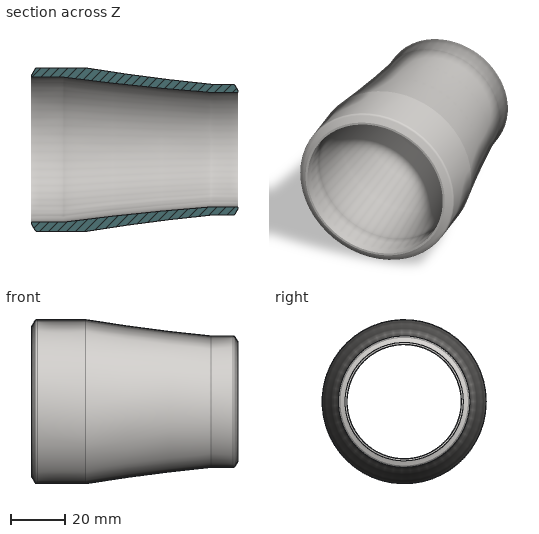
import cadquery as cq
import math

length = 76.0
large_outer_diameter = 60.3
large_bore_diameter = 53.1
small_outer_diameter = 48.3
small_bore_diameter = 41.9

large_straight_length = 20.0
small_straight_length = 10.0
large_bore_straight_length = 12.0
transition_sag = 0.38

bevel_angle = math.radians(30.0)
land_width = 0.8
corner_radius = 1.0

large_outer_radius = large_outer_diameter / 2
large_bore_radius = large_bore_diameter / 2
small_outer_radius = small_outer_diameter / 2
small_bore_radius = small_bore_diameter / 2

outer_transition_start = large_straight_length
bore_transition_start = large_bore_straight_length
transition_end = length - small_straight_length


def bevel_points(outer_radius, bore_radius):
    """Return (distance from end face, radius) at the land, arc start, arc middle and arc end."""
    land_radius = bore_radius + land_width
    sharp_corner = (outer_radius - land_radius) * math.tan(bevel_angle)
    turn = math.pi / 2 - bevel_angle
    tangent_length = corner_radius * math.tan(turn / 2)
    arc_end = sharp_corner + tangent_length
    arc_center_radius = outer_radius - corner_radius

    def on_arc(angle):
        """Point on the corner arc, turned by angle from its tangency with the outside."""
        return (
            arc_end - corner_radius * math.sin(angle),
            arc_center_radius + corner_radius * math.cos(angle),
        )

    return (0.0, land_radius), on_arc(turn), on_arc(turn / 2), on_arc(0.0)


def from_small_end(point):
    """Convert a distance from the small end face into an X position."""
    distance, radius = point
    return (length - distance, radius)


def transition_middle(transition_start, large_radius, small_radius):
    """Middle point of the transition arc, bowed toward the axis."""
    run = transition_end - transition_start
    drop = large_radius - small_radius
    chord = math.hypot(run, drop)
    return (
        (transition_start + transition_end) / 2 - transition_sag * drop / chord,
        (large_radius + small_radius) / 2 - transition_sag * run / chord,
    )


def wall_profile():
    """Closed half section of the wall in the XY plane."""
    large_bevel = bevel_points(large_outer_radius, large_bore_radius)
    small_bevel = bevel_points(small_outer_radius, small_bore_radius)
    large_land, large_arc_start, large_arc_middle, large_arc_end = large_bevel
    small_land, small_arc_start, small_arc_middle, small_arc_end = map(from_small_end, small_bevel)

    outside = (
        cq.Workplane("XY")
        .moveTo(0.0, large_bore_radius)
        .lineTo(*large_land)
        .lineTo(*large_arc_start)
        .threePointArc(large_arc_middle, large_arc_end)
        .lineTo(outer_transition_start, large_outer_radius)
        .threePointArc(
            transition_middle(outer_transition_start, large_outer_radius, small_outer_radius),
            (transition_end, small_outer_radius),
        )
        .lineTo(*small_arc_end)
        .threePointArc(small_arc_middle, small_arc_start)
        .lineTo(*small_land)
    )
    return (
        outside.lineTo(length, small_bore_radius)
        .lineTo(transition_end, small_bore_radius)
        .threePointArc(
            transition_middle(bore_transition_start, large_bore_radius, small_bore_radius),
            (bore_transition_start, large_bore_radius),
        )
        .close()
    )


result = wall_profile().revolve(360.0, (0.0, 0.0, 0.0), (1.0, 0.0, 0.0))